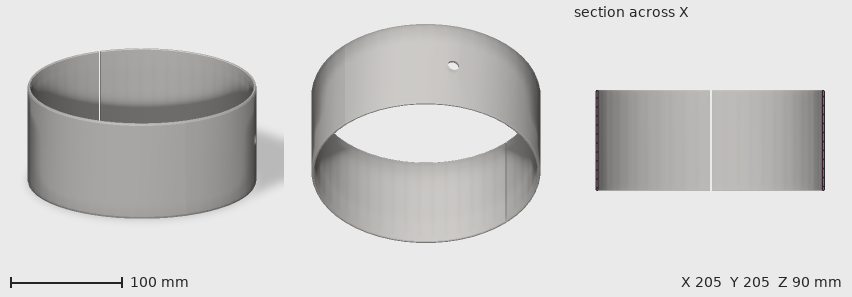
import cadquery as cq

outer_diameter = 205.0
height = 90.0
wall = 2.5

outer_chamfer_depth = 0.6
outer_chamfer_height = 1.8
inner_chamfer = 0.6

split_width = 1.6

hole_diameter = 10.0
hole_angle = 59.0

outer_radius = outer_diameter / 2
inner_radius = outer_radius - wall
half_height = height / 2


def make_band():
    """Revolve the wall section, chamfered at all four corners."""
    outer_rim = outer_radius - outer_chamfer_depth
    inner_rim = inner_radius + inner_chamfer
    outer_shoulder = half_height - outer_chamfer_height
    inner_shoulder = half_height - inner_chamfer
    section = [
        (inner_radius, -inner_shoulder),
        (inner_rim, -half_height),
        (outer_rim, -half_height),
        (outer_radius, -outer_shoulder),
        (outer_radius, outer_shoulder),
        (outer_rim, half_height),
        (inner_rim, half_height),
        (inner_radius, inner_shoulder),
    ]
    return cq.Workplane("XZ").polyline(section).close().revolve(360, (0, 0), (0, 1))


def make_split():
    """Cutter reaching from the axis out past the -X wall."""
    cutter = cq.Workplane("XY").box(outer_diameter, split_width, height, centered=(True, False, True))
    return cutter.translate((-outer_radius, 0, 0))


def make_hole():
    """Cutter reaching from the axis out past one side of the wall."""
    cutter = cq.Workplane("YZ").circle(hole_diameter / 2).extrude(outer_diameter)
    return cutter.rotate((0, 0, 0), (0, 0, 1), hole_angle)


result = make_band().cut(make_split()).cut(make_hole())